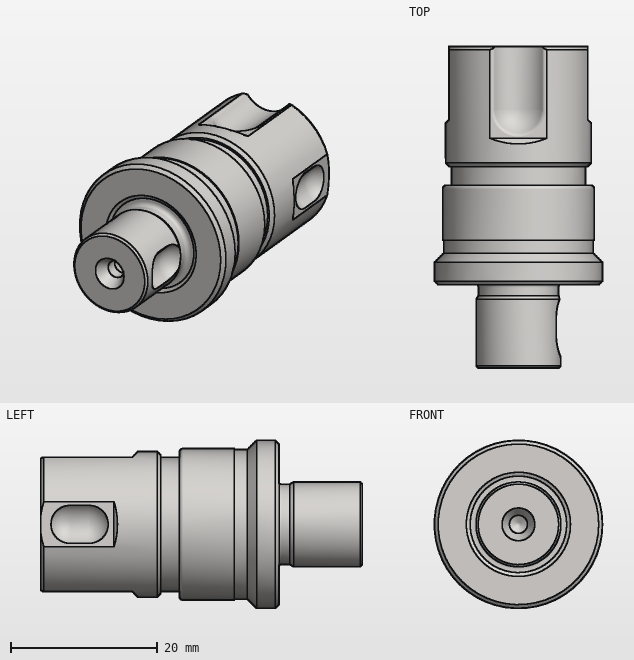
import cadquery as cq
import math

length = 44.0

shank_radius = 5.8
tip_chamfer = 0.3
shank_end = 9.4
neck_radius = 5.5
neck_start = 9.95
relief_fillet = 0.6
relief_floor = 11.65
relief_floor_radius = 6.6
relief_rim_radius = 7.15

flange_diameter = 23.0
flange_radius = flange_diameter / 2
flange_front = 11.4
flange_chamfer = 0.55
flange_back = 14.48

band_radius = 10.25
band_end = 17.5
body_radius = 10.4
body_end = 25.05
body_edge_radius = 0.55
band_start = flange_back + flange_radius - band_radius

groove_radius = 9.2
tail_radius = 10.0
tail_start = 27.55
tail_chamfer = 0.55
back_chamfer = 0.45

wide_flat_height = 9.2
wide_flat_start = 31.45
narrow_flat_height = 9.5
narrow_flat_start = 33.95

slot_radius = 4.0
slot_depth = 1.9
slot_end_center = 35.35
slot_edge_fillet = 0.5

pocket_radius = 3.0
pocket_depth = 1.5
pocket_spacing = 2.65
tail_pocket_center = 38.68
shank_pocket_center = 5.68

hole_mouth_radius = 2.25
hole_radius = 1.25
hole_straight = 1.75
hole_cone_angle = 60.0
drill_point_angle = 118.0

cutter_clearance = 0.45
pick_margin = 0.05


def revolve_about_y(outline):
    return outline.close().revolve(360, (0, 0, 0), (0, 1, 0))


def turned_body():
    fillet_dip = relief_fillet * math.sqrt(0.5)
    edge_reach = body_edge_radius * math.sqrt(0.5)
    outline = (
        cq.Workplane("XY")
        .lineTo(shank_radius - tip_chamfer, 0)
        .lineTo(shank_radius, tip_chamfer)
        .lineTo(shank_radius, shank_end)
        .lineTo(neck_radius, neck_start)
        .lineTo(neck_radius, relief_floor - relief_fillet)
        .threePointArc(
            (neck_radius + relief_fillet - fillet_dip, relief_floor - relief_fillet + fillet_dip),
            (neck_radius + relief_fillet, relief_floor),
        )
        .lineTo(relief_floor_radius, relief_floor)
        .lineTo(relief_rim_radius, flange_front)
        .lineTo(flange_radius - flange_chamfer, flange_front)
        .lineTo(flange_radius, flange_front + flange_chamfer)
        .lineTo(flange_radius, flange_back)
        .lineTo(band_radius, band_start)
        .lineTo(band_radius, band_end)
        .lineTo(body_radius, band_end)
        .lineTo(body_radius, body_end - body_edge_radius)
        .threePointArc(
            (body_radius - body_edge_radius + edge_reach, body_end - body_edge_radius + edge_reach),
            (body_radius - body_edge_radius, body_end),
        )
        .lineTo(groove_radius, body_end)
        .lineTo(groove_radius, tail_start)
        .lineTo(tail_radius - tail_chamfer, tail_start)
        .lineTo(tail_radius, tail_start + tail_chamfer)
        .lineTo(tail_radius, length - back_chamfer)
        .lineTo(tail_radius - back_chamfer, length)
        .lineTo(0, length)
    )
    return revolve_about_y(outline)


def center_hole():
    def cone_depth(radius_change, full_angle):
        return radius_change / math.tan(math.radians(full_angle / 2))

    mouth_depth = cone_depth(hole_mouth_radius - hole_radius, hole_cone_angle)
    straight_end = mouth_depth + hole_straight
    outline = (
        cq.Workplane("XY")
        .lineTo(hole_mouth_radius, 0)
        .lineTo(hole_radius, mouth_depth)
        .lineTo(hole_radius, straight_end)
        .lineTo(0, straight_end + cone_depth(hole_radius, drill_point_angle))
    )
    return revolve_about_y(outline)


def flat_cutter(height, start):
    """Material above a +Z flat, from its 45 degree run-out to the back end."""
    top = tail_radius + cutter_clearance
    return (
        cq.Workplane("YZ")
        .moveTo(start, height)
        .lineTo(length, height)
        .lineTo(length, top)
        .lineTo(start - (top - height), top)
        .close()
        .extrude(tail_radius, both=True)
    )


def ball_groove(radius, start, end, height):
    """Half-round groove along Y with spherical ends, centered at Z = height."""
    rod = cq.Workplane("XZ", origin=(0, start, height)).circle(radius).extrude(start - end)
    for y in (start, end):
        rod = rod.union(cq.Workplane("XY", origin=(0, y, height)).sphere(radius))
    return rod


def open_slot():
    """Ball-ended slot through the back end."""
    axis_height = wide_flat_height + slot_radius - slot_depth
    return ball_groove(slot_radius, slot_end_center, length + slot_radius, axis_height)


def pocket(center, surface_height):
    """Closed ball-ended pocket sunk below a +Z surface."""
    height = surface_height + pocket_radius - pocket_depth
    half = pocket_spacing / 2
    return ball_groove(pocket_radius, center - half, center + half, height)


def turned_to(cutter, angle):
    """Turn a +Z cutter about the part axis; 90 degrees faces it to +X."""
    return cutter.rotate((0, 0, 0), (0, 1, 0), angle)


result = turned_body().cut(center_hole())

for angle in (0, 180):
    result = result.cut(turned_to(flat_cutter(wide_flat_height, wide_flat_start), angle))
    result = result.cut(turned_to(open_slot(), angle))

for side in (1, -1):
    flat_center = (0, (wide_flat_start + slot_end_center) / 2, side * wide_flat_height)
    slot_rim = (
        result.faces(cq.selectors.NearestToPointSelector(flat_center))
        .edges(cq.selectors.BoxSelector(
            (-slot_radius, slot_end_center - slot_radius, side * (wide_flat_height - pick_margin)),
            (slot_radius, length - pick_margin, side * (wide_flat_height + pick_margin)),
        ))
    )
    result = slot_rim.fillet(slot_edge_fillet)

for angle in (90, 270):
    result = result.cut(turned_to(flat_cutter(narrow_flat_height, narrow_flat_start), angle))
    result = result.cut(turned_to(pocket(tail_pocket_center, narrow_flat_height), angle))

pocket_half_width = math.sqrt(pocket_radius**2 - (pocket_radius - pocket_depth)**2)
shank_pocket_height = math.sqrt(shank_radius**2 - pocket_half_width**2)
result = result.cut(turned_to(pocket(shank_pocket_center, shank_pocket_height), 90))